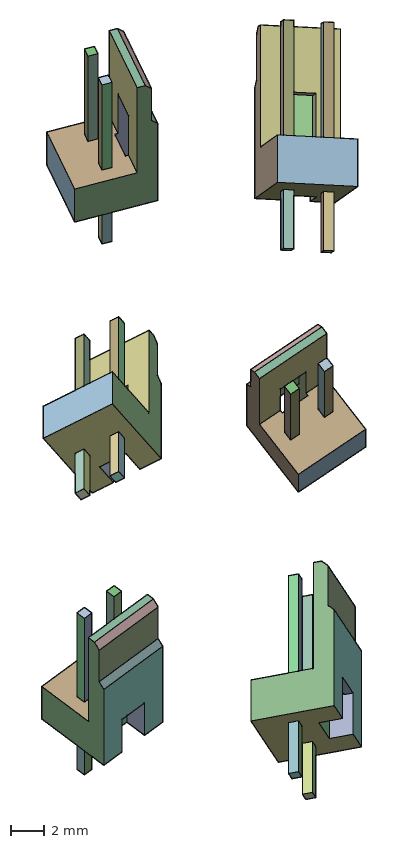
import cadquery as cq

width = 5.0
depth = 5.3
height = 14.0

base_bottom = 3.6
base_top = 6.51

wall_front = 3.99
wall_step = 0.39
wall_step_bottom = 10.39
tip_chamfer = 0.4

pin_size = 0.65
pin_pitch = 2.5
pin_y = 2.4

slot_width = 1.9
slot_front = 3.8
recess_depth = 0.74
recess_top = 9.98


def box_between(x_size, y_start, y_end, z_start, z_end):
    """Box centred on X = 0 that spans the given Y and Z ranges."""
    box = cq.Workplane("XY").box(
        x_size, y_end - y_start, z_end - z_start, centered=(True, False, False)
    )
    return box.translate((0, y_start, z_start))


def make_body():
    """L-shaped profile of base and latch wall, extruded along X."""
    upper_back = depth - wall_step
    profile = [
        (0, base_bottom),
        (depth, base_bottom),
        (depth, wall_step_bottom),
        (upper_back, wall_step_bottom + wall_step),
        (upper_back, height - tip_chamfer),
        (upper_back - tip_chamfer, height),
        (wall_front, height),
        (wall_front, base_top),
        (0, base_top),
    ]
    return cq.Workplane("YZ").polyline(profile).close().extrude(width / 2, both=True)


def make_pin(x):
    """Full-height square pin centred at the given X."""
    pin = box_between(pin_size, pin_y - pin_size / 2, pin_y + pin_size / 2, 0, height)
    return pin.translate((x, 0, 0))


base_slot = box_between(slot_width, slot_front, depth, base_bottom, base_top)

wall_recess = box_between(slot_width, wall_front, wall_front + recess_depth, base_top, recess_top)

result = make_body().cut(base_slot).cut(wall_recess)
for side in (-1, 1):
    result = result.union(make_pin(side * pin_pitch / 2))